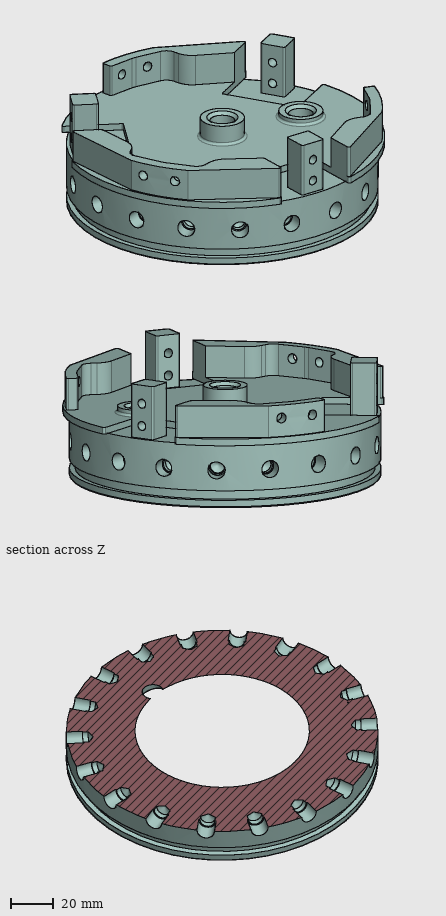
import cadquery as cq
import math

CLEARANCE = 1.5

BODY_D = 146.0
BODY_TOP = 30.4
FLANGE_R = 76.0
DECK_Z = 33.6
LIP_H = 3.6
LIP_CHAMFER = 0.6
GROOVE_D = 140.5
GROOVE_TOP = 8.2
DOME_EDGE_R = 68.3
DOME_EDGE_Z = 0.8
DOME_EDGE_CHAMFER = 1.4
DOME_APEX_Z = 26.5

POST_ANGLES = (0, 120, 240)
HALF_SECTOR = 60
POCKET_W = 38.9
POCKET_INNER_X = 44.4
POCKET_CORNER_R = 0.6
RIM_CORNER_R = 0.9
RIM_CORNER_ANGLE = math.degrees(math.asin(POCKET_W / 2 / FLANGE_R))
TOP_Z = 55.8
POST_INNER_X = 59.0
POST_L = 12.2
POST_W = 12.5
POST_CORNER_R = 0.9
POST_HOLE_D = 4.3
POST_HOLE_HEIGHTS = (36.3, 47.0)

WING_TOP = 48.6
WING_OUTER_R = 75.0
WING_INNER_R = 69.5
HALF_ARC = 11.1
PLAIN_END = 11.9
HALF_LAND = 1.0
NECK_REACH = 11.0
NECK_R = 5.3
ARM_CORNER = (56.7, -20.8)
ARM_CORNER_R = 9.9
ARM_OVERRUN = 4.5
END_CORNER_R = 0.8
WING_HOLE_D = 4.5
WING_HOLE_Z = 42.4
WING_HOLE_ANGLE = 6.2
ONE_ARM_WINGS = (60, 180)
TWO_ARM_WING = 300

RADIAL_HOLES = 18
RADIAL_HOLE_Z = 18.0
THREAD_D = 8.0
THREAD_DEPTH = 7.8
DRILL_D = 6.8
DRILL_DEPTH = 10.3
DRILL_POINT_ANGLE = 118

PORT_BOSS_D = 20.7
PORT_FILLET = 1.2
PORT_MOUTH_D = 14.6
PORT_THREAD_D = 11.5
PORT_THREAD_DEPTH = 12.2
PORT_BORE_D = 9.9
CENTER_PORT = (0, 0, 43.2)
SIDE_PORT = (3.8, 42.9, 36.6)


def turned(part, angle):
    """Turn a part about the drum axis."""
    return part.rotate((0, 0, 0), (0, 0, 1), angle)


def drum():
    body_r = BODY_D / 2
    groove_r = GROOVE_D / 2
    rise = DOME_APEX_Z - DOME_EDGE_Z
    sphere_r = (DOME_EDGE_R**2 + rise**2) / (2 * rise)
    mid_r = DOME_EDGE_R / 2
    mid_z = DOME_APEX_Z - sphere_r + math.sqrt(sphere_r**2 - mid_r**2)
    return (
        cq.Workplane("XZ")
        .moveTo(0, DOME_APEX_Z)
        .threePointArc((mid_r, mid_z), (DOME_EDGE_R, DOME_EDGE_Z))
        .lineTo(DOME_EDGE_R + DOME_EDGE_CHAMFER, 0)
        .lineTo(body_r - LIP_CHAMFER, 0)
        .lineTo(body_r, LIP_CHAMFER)
        .lineTo(body_r, LIP_H)
        .lineTo(groove_r, LIP_H)
        .lineTo(groove_r, GROOVE_TOP)
        .lineTo(body_r, GROOVE_TOP)
        .lineTo(body_r, BODY_TOP)
        .lineTo(FLANGE_R, BODY_TOP)
        .lineTo(FLANGE_R, DECK_Z)
        .lineTo(0, DECK_Z)
        .close()
        .revolve(360, (0, 0, 0), (0, 1, 0))
    )


def polar(radius, angle):
    a = math.radians(angle)
    return (radius * math.cos(a), radius * math.sin(a))


def near(x, y):
    """Select the upright edge passing through a point of the plan."""
    reach = 0.2
    return cq.selectors.BoxSelector(
        (x - reach, y - reach, BODY_TOP), (x + reach, y + reach, TOP_Z)
    )


def wing_extrude(outline):
    return outline.close().extrude(WING_TOP - BODY_TOP)


def arm_half():
    """Half a wing, middle on the X axis, with its arm toward -Y."""
    tip = polar(FLANGE_R, RIM_CORNER_ANGLE - HALF_SECTOR)
    arm_start = polar(WING_OUTER_R, -HALF_ARC)
    length = math.dist(arm_start, tip)
    arm_x = (tip[0] - arm_start[0]) / length
    arm_y = (tip[1] - arm_start[1]) / length
    overrun_tip = (tip[0] + arm_x * ARM_OVERRUN, tip[1] + arm_y * ARM_OVERRUN)
    inner_length = length + ARM_OVERRUN
    arm_end = (ARM_CORNER[0] + arm_x * inner_length, ARM_CORNER[1] + arm_y * inner_length)

    flat_distance = WING_INNER_R * math.cos(math.radians(WING_HOLE_ANGLE - HALF_LAND))
    foot = polar(flat_distance, -WING_HOLE_ANGLE)
    along = polar(NECK_REACH, -WING_HOLE_ANGLE - 90)
    neck = (foot[0] + along[0], foot[1] + along[1])

    outline = (
        cq.Workplane("XY", origin=(0, 0, BODY_TOP))
        .moveTo(WING_INNER_R, 0)
        .threePointArc(polar(WING_INNER_R, -HALF_LAND / 2), polar(WING_INNER_R, -HALF_LAND))
        .lineTo(*neck)
        .lineTo(*ARM_CORNER)
        .lineTo(*arm_end)
        .lineTo(*overrun_tip)
        .lineTo(*arm_start)
        .threePointArc(polar(WING_OUTER_R, -HALF_ARC / 2), (WING_OUTER_R, 0))
    )
    half = wing_extrude(outline)
    half = half.edges(near(*neck)).fillet(NECK_R)
    half = half.edges(near(*ARM_CORNER)).fillet(ARM_CORNER_R)
    half = half.cut(turned(pocket(), -HALF_SECTOR))
    return half.edges(near(*tip)).fillet(RIM_CORNER_R)


def plain_half():
    """Half a wing toward +Y that stops without an arm."""
    inner_end = polar(WING_INNER_R, PLAIN_END)
    outer_end = polar(WING_OUTER_R, PLAIN_END)
    outline = (
        cq.Workplane("XY", origin=(0, 0, BODY_TOP))
        .moveTo(WING_INNER_R, 0)
        .threePointArc(polar(WING_INNER_R, HALF_LAND / 2), polar(WING_INNER_R, HALF_LAND))
        .lineTo(*inner_end)
        .lineTo(*outer_end)
        .threePointArc(polar(WING_OUTER_R, PLAIN_END / 2), (WING_OUTER_R, 0))
    )
    half = wing_extrude(outline)
    for corner in (inner_end, outer_end):
        half = half.edges(near(*corner)).fillet(END_CORNER_R)
    return half


def wing_holes(wing):
    for angle in (-WING_HOLE_ANGLE, WING_HOLE_ANGLE):
        drill = (
            cq.Workplane("YZ", origin=(WING_INNER_R - CLEARANCE, 0, WING_HOLE_Z))
            .circle(WING_HOLE_D / 2)
            .extrude(WING_OUTER_R - WING_INNER_R + 2 * CLEARANCE)
        )
        wing = wing.cut(turned(drill, angle))
    return wing


def pocket():
    length = FLANGE_R + CLEARANCE - POCKET_INNER_X
    return (
        cq.Workplane("XY", origin=(POCKET_INNER_X + length / 2, 0, BODY_TOP))
        .rect(length, POCKET_W)
        .extrude(TOP_Z - BODY_TOP)
        .edges("|Z and <X")
        .fillet(POCKET_CORNER_R)
    )


def post():
    foot = 1.5
    block = (
        cq.Workplane("XY", origin=(POST_INNER_X + POST_L / 2, 0, BODY_TOP - foot))
        .rect(POST_L, POST_W)
        .extrude(TOP_Z - BODY_TOP + foot)
        .edges("|Z")
        .fillet(POST_CORNER_R)
    )
    for height in POST_HOLE_HEIGHTS:
        drill = (
            cq.Workplane("YZ", origin=(POST_INNER_X, 0, height))
            .circle(POST_HOLE_D / 2)
            .extrude(POST_L)
        )
        block = block.cut(drill)
    return block


def radial_hole():
    """Threaded blind hole with a drill point, entering from the +X side."""
    body_r = BODY_D / 2
    clear_r = body_r + CLEARANCE
    drill_r = DRILL_D / 2
    thread_r = THREAD_D / 2
    thread_end = body_r - THREAD_DEPTH
    drill_end = body_r - DRILL_DEPTH
    point = drill_r / math.tan(math.radians(DRILL_POINT_ANGLE / 2))
    return (
        cq.Workplane("XZ")
        .polyline([
            (clear_r, 0),
            (clear_r, thread_r),
            (thread_end, thread_r),
            (thread_end, drill_r),
            (drill_end, drill_r),
            (drill_end - point, 0),
        ])
        .close()
        .revolve(360, (0, 0, 0), (1, 0, 0))
        .translate((0, 0, RADIAL_HOLE_Z))
    )


def port_boss(x, y, top):
    boss_r = PORT_BOSS_D / 2
    bend = PORT_FILLET * (1 - math.sqrt(0.5))
    return (
        cq.Workplane("XZ")
        .moveTo(0, BODY_TOP)
        .lineTo(boss_r + PORT_FILLET, BODY_TOP)
        .lineTo(boss_r + PORT_FILLET, DECK_Z)
        .threePointArc((boss_r + bend, DECK_Z + bend), (boss_r, DECK_Z + PORT_FILLET))
        .lineTo(boss_r, top)
        .lineTo(0, top)
        .close()
        .revolve(360, (0, 0, 0), (0, 1, 0))
        .translate((x, y, 0))
    )


def port_bore(x, y, top):
    mouth_r = PORT_MOUTH_D / 2
    thread_r = PORT_THREAD_D / 2
    bore_r = PORT_BORE_D / 2
    thread_bottom = top - PORT_THREAD_DEPTH
    thread_top = top - (mouth_r - thread_r)
    return (
        cq.Workplane("XZ")
        .polyline([
            (0, 0),
            (bore_r, 0),
            (bore_r, thread_bottom),
            (thread_r, thread_bottom),
            (thread_r, thread_top),
            (mouth_r, top),
            (0, top),
        ])
        .close()
        .revolve(360, (0, 0, 0), (0, 1, 0))
        .translate((x, y, 0))
    )


result = drum()
for post_angle in POST_ANGLES:
    result = result.cut(turned(pocket(), post_angle))
for post_angle in POST_ANGLES:
    for side in (-1, 1):
        corner = polar(FLANGE_R, post_angle + side * RIM_CORNER_ANGLE)
        result = result.edges(near(*corner)).fillet(RIM_CORNER_R)

arm = arm_half()
one_arm_wing = wing_holes(arm.union(plain_half()))
two_arm_wing = wing_holes(arm.union(arm.mirror("XZ")))
for wing_angle in ONE_ARM_WINGS:
    result = result.union(turned(one_arm_wing, wing_angle))
result = result.union(turned(two_arm_wing, TWO_ARM_WING))
for post_angle in POST_ANGLES:
    result = result.union(turned(post(), post_angle))

for index in range(RADIAL_HOLES):
    result = result.cut(turned(radial_hole(), -90 + index * 360 / RADIAL_HOLES))

for port in (CENTER_PORT, SIDE_PORT):
    result = result.union(port_boss(*port)).cut(port_bore(*port))